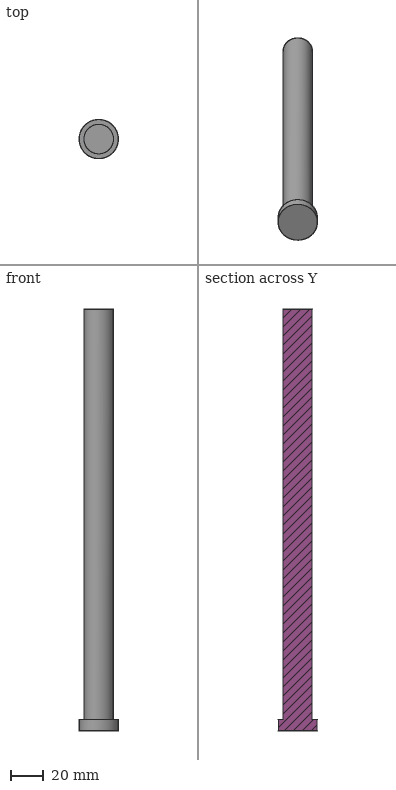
import cadquery as cq

head_diameter = 24.0
head_height = 7.0
shank_diameter = 18.0
shank_length = 250.0

head = cq.Workplane("XY").circle(head_diameter / 2).extrude(head_height)
result = head.faces(">Z").workplane().circle(shank_diameter / 2).extrude(shank_length)